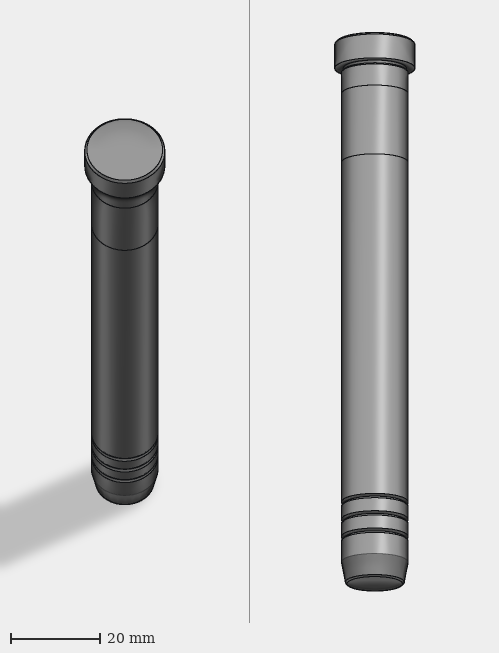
import cadquery as cq

length = 126.0
shaft_radius = 7.5

head_radius = 9.01
head_height = 6.0
head_chamfer = 0.5
undercut_width = 1.0
undercut_depth = 0.4
undercut_slope = undercut_depth

head_section_depth = 12.0
collar_section_depth = 28.0
collar_top = length - head_section_depth
collar_bottom = length - collar_section_depth

groove_count = 3
groove_pitch = 4.0
groove_half_width = 0.5
groove_depth = groove_half_width
lowest_groove_height = 10.5

lead_height = 5.0
lead_inset = 0.9
tip_chamfer = 0.4
lead_radius = shaft_radius - lead_inset


def revolve_profile(profile):
    """Turn a closed radius-height profile about the Z axis."""
    return profile.close().revolve(360, (0, 0, 0), (0, 1, 0))


def make_head_section():
    """Flat head, undercut and the short shaft length below them."""
    head_bottom = length - head_height
    undercut_bottom = head_bottom - undercut_width
    neck_radius = shaft_radius - undercut_depth
    profile = (
        cq.Workplane("XZ")
        .moveTo(0, collar_top)
        .lineTo(shaft_radius, collar_top)
        .lineTo(shaft_radius, undercut_bottom)
        .lineTo(neck_radius, undercut_bottom + undercut_slope)
        .lineTo(neck_radius, head_bottom)
        .lineTo(head_radius, head_bottom)
        .lineTo(head_radius, length - head_chamfer)
        .lineTo(head_radius - head_chamfer, length)
        .lineTo(0, length)
    )
    return revolve_profile(profile)


def make_collar_section():
    """Plain cylinder between the head section and the guide shaft."""
    height = collar_top - collar_bottom
    return cq.Workplane("XY").workplane(offset=collar_bottom).circle(shaft_radius).extrude(height)


def make_groove(center_height):
    """Ring with a V section removed by one lubrication groove."""
    profile = (
        cq.Workplane("XZ")
        .moveTo(shaft_radius, center_height - groove_half_width)
        .lineTo(shaft_radius - groove_depth, center_height)
        .lineTo(shaft_radius, center_height + groove_half_width)
        .lineTo(shaft_radius + groove_depth, center_height + groove_half_width)
        .lineTo(shaft_radius + groove_depth, center_height - groove_half_width)
    )
    return revolve_profile(profile)


def make_guide_shaft():
    """Long shaft with a tapered lead-in and lubrication grooves."""
    profile = (
        cq.Workplane("XZ")
        .moveTo(0, collar_bottom)
        .lineTo(shaft_radius, collar_bottom)
        .lineTo(shaft_radius, lead_height)
        .lineTo(lead_radius, tip_chamfer)
        .lineTo(lead_radius - tip_chamfer, 0)
        .lineTo(0, 0)
    )
    shaft = revolve_profile(profile)
    for index in range(groove_count):
        shaft = shaft.cut(make_groove(lowest_groove_height + index * groove_pitch))
    return shaft


head_section = make_head_section()
collar_section = make_collar_section()
guide_shaft = make_guide_shaft()

result = cq.Compound.makeCompound([head_section.val(), collar_section.val(), guide_shaft.val()])